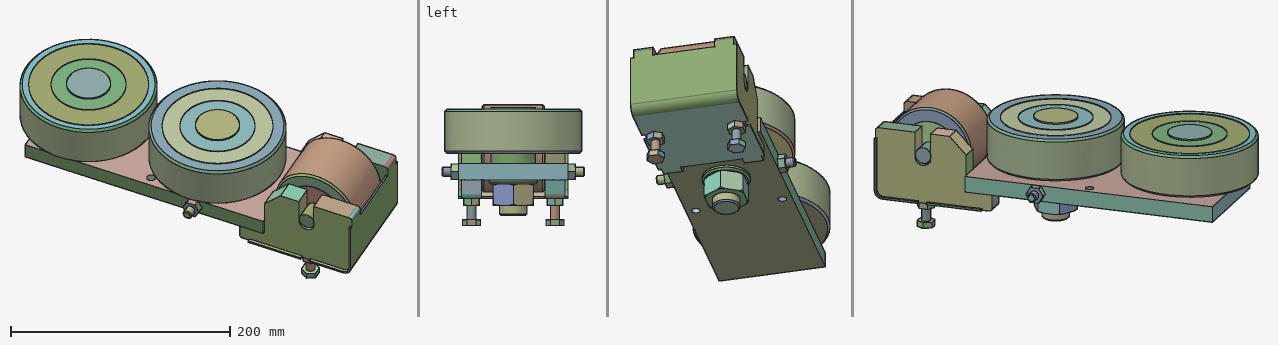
import cadquery as cq
import math

overall_length = 350.5

wheel_diameter = 125.0
wheel_height = 40.3
wheel_bottom = 24.2
wheel_chamfer = 2.0
wheel_pitch = 130.0
hub_diameter = 40.3
hub_rise = 1.5
inner_ring_diameter = 68.5
ring_recess = 0.7
front_face_diameter = 109.5
rear_face_diameter = 101.0

stud_diameter = 25.2
stud_bottom = -32.2
stud_chamfer = 1.5
washer_diameter = 44.0
washer_thickness = 4.0
washer_chamfer = 1.8
nut_across_flats = 36.5
nut_height = 19.3
nut_chamfer = 1.8

plate_start = -40.3
plate_length = 240.0
plate_width = 100.0
plate_thickness = 15.0
plate_end = plate_start + plate_length
mount_hole_diameter = 7.7
mount_hole_setback = 47.5
mount_hole_x = wheel_pitch - mount_hole_setback
mount_hole_y = 40.5

set_screw_diameter = 8.5
set_screw_span = 130.0
set_screw_chamfer = 1.0
set_nut_across_flats = 14.5
set_nut_height = 6.5

bracket_end = overall_length - wheel_diameter / 2
bracket_front = 174.5
bracket_bottom = -16.8
bracket_top = 50.8
cheek_inner_y = 29.0
cheek_outer_y = 47.0
cheek_thickness = cheek_outer_y - cheek_inner_y
cheek_chamfer = 16.0
cheek_fillet = 3.0
sheet_thickness = 1.8
sheet_bend_radius = 8.0
sheet_inset = 9.8
axle_slot_bottom = 19.5

roller_x = 242.0
roller_z = 28.7
roller_diameter = 80.0
roller_width = 56.8
roller_chamfer = 1.8
race_diameter = 54.0
race_step = 0.5
axle_diameter = 15.0
axle_length = 92.0

bolt_diameter = 8.5
bolt_bottom = -41.7
bolt_head_height = 5.5
bolt_hex_across_flats = 14.5
lock_nut_height = 6.3
bolt_y = (cheek_inner_y + cheek_outer_y) / 2
axle_bottom = roller_z - axle_diameter / 2


def disc(diameter, bottom, top, x=0.0, y=0.0):
    """Upright cylinder between two heights."""
    return cq.Workplane("XY", origin=(x, y, bottom)).circle(diameter / 2).extrude(top - bottom)


def hexagon(across_flats, height, corner_angle=0.0):
    """Upright hexagonal prism standing on Z = 0, one corner at the given angle from +X."""
    across_corners = across_flats / math.cos(math.pi / 6)
    prism = cq.Workplane("XY").polygon(6, across_corners).extrude(height)
    return prism.rotate((0, 0, 0), (0, 0, 1), corner_angle)


def chamfered_hexagon(across_flats, height, chamfer):
    """Upright hexagonal prism whose corners are turned down at both ends."""
    corner_radius = across_flats / math.cos(math.pi / 6) / 2
    drop = chamfer * math.tan(math.pi / 6)
    envelope = (
        cq.Workplane("XZ")
        .polyline([
            (0, 0),
            (corner_radius - chamfer, 0),
            (corner_radius, drop),
            (corner_radius, height - drop),
            (corner_radius - chamfer, height),
            (0, height),
        ])
        .close()
        .revolve(360, (0, 0, 0), (0, 1, 0))
    )
    return hexagon(across_flats, height).intersect(envelope)


def make_wheel(x, face_diameter):
    """Wheel with a raised hub, an inner ring and a slightly recessed annular face."""
    wheel_top = wheel_bottom + wheel_height
    face = wheel_top - ring_recess
    wheel = disc(wheel_diameter, wheel_bottom, wheel_top, x).edges().chamfer(wheel_chamfer)
    wheel = wheel.cut(disc(face_diameter, face, wheel_top, x))
    wheel = wheel.union(disc(inner_ring_diameter, wheel_bottom, wheel_top, x))
    return wheel.union(disc(hub_diameter, plate_thickness, wheel_top + hub_rise, x))


def make_stud_and_nut(x):
    """Stud through the plate, with the washer and nut that clamp it from below."""
    stud = disc(stud_diameter, stud_bottom, plate_thickness, x).faces("<Z").chamfer(stud_chamfer)
    washer = disc(washer_diameter, -washer_thickness, 0, x).faces("<Z").chamfer(washer_chamfer)
    nut = chamfered_hexagon(nut_across_flats, nut_height, nut_chamfer)
    nut = nut.translate((x, 0, -washer_thickness - nut_height))
    return stud.union(washer).union(nut)


def make_plate():
    """Flat plate with the stud hole and two mounting holes."""
    plate = cq.Workplane("XY").box(plate_length, plate_width, plate_thickness, centered=(False, True, False))
    plate = plate.translate((plate_start, 0, 0))
    plate = plate.cut(disc(stud_diameter, 0, plate_thickness, wheel_pitch))
    for side in (-1, 1):
        plate = plate.cut(disc(mount_hole_diameter, 0, plate_thickness, mount_hole_x, side * mount_hole_y))
    return plate


def make_set_screw(side):
    """Set screw and lock nut standing out from one long edge of the plate."""
    reach = (set_screw_span - plate_width) / 2
    screw = disc(set_screw_diameter, 0, reach).faces(">Z").chamfer(set_screw_chamfer)
    screw = screw.union(hexagon(set_nut_across_flats, set_nut_height))
    screw = screw.rotate((0, 0, 0), (1, 0, 0), -90 * side)
    return screw.translate((wheel_pitch, side * plate_width / 2, plate_thickness / 2))


def make_cheek(side):
    """Side cheek with a ledge under the plate and an open axle slot."""
    cheek = (
        cq.Workplane("XZ", origin=(0, cheek_thickness / 2, 0))
        .polyline([
            (bracket_front, bracket_bottom),
            (bracket_end, bracket_bottom),
            (bracket_end, bracket_top),
            (plate_end + cheek_chamfer, bracket_top),
            (plate_end, bracket_top - cheek_chamfer),
            (plate_end, 0),
            (bracket_front, 0),
        ])
        .close()
        .extrude(cheek_thickness)
    )
    cheek = cheek.edges("|Y and >X and >Z").fillet(cheek_fillet)
    cheek = cheek.edges("|Y and <X and <Z").fillet(cheek_fillet)
    cheek = cheek.edges("|Y and >X and <Z").fillet(sheet_bend_radius)
    slot_radius = axle_diameter / 2
    slot = (
        cq.Workplane("XZ", origin=(roller_x, cheek_thickness / 2, axle_slot_bottom + slot_radius))
        .moveTo(-slot_radius, 0)
        .threePointArc((0, -slot_radius), (slot_radius, 0))
        .lineTo(slot_radius, bracket_top)
        .lineTo(-slot_radius, bracket_top)
        .close()
        .extrude(cheek_thickness)
    )
    return cheek.cut(slot).translate((0, side * bolt_y, 0))


def make_sheet():
    """Bent sheet closing the bottom and the rear, notched beside each bolt."""
    inner_x = bracket_end - sheet_thickness
    floor_z = bracket_bottom + sheet_thickness
    front = bracket_front + sheet_inset
    top = bracket_top - sheet_inset
    inner_radius = sheet_bend_radius - sheet_thickness
    bend_x = bracket_end - sheet_bend_radius
    bend_z = bracket_bottom + sheet_bend_radius
    diagonal = math.sqrt(0.5)
    sheet = (
        cq.Workplane("XZ", origin=(0, plate_width / 2, 0))
        .moveTo(front, bracket_bottom)
        .lineTo(bend_x, bracket_bottom)
        .threePointArc(
            (bend_x + sheet_bend_radius * diagonal, bend_z - sheet_bend_radius * diagonal),
            (bracket_end, bend_z),
        )
        .lineTo(bracket_end, top)
        .lineTo(inner_x, top)
        .lineTo(inner_x, bend_z)
        .threePointArc(
            (bend_x + inner_radius * diagonal, bend_z - inner_radius * diagonal),
            (bend_x, floor_z),
        )
        .lineTo(front, floor_z)
        .close()
        .extrude(plate_width)
    )
    notch_depth = plate_width / 2 - cheek_outer_y
    for side in (-1, 1):
        notch_y = side * (cheek_outer_y + notch_depth / 2)
        notch = cq.Workplane("XY").box(bolt_diameter, notch_depth, sheet_thickness)
        sheet = sheet.cut(notch.translate((roller_x, notch_y, bracket_bottom + sheet_thickness / 2)))
    return sheet


def make_frame():
    """Welded frame: plate, set screws and bracket, with a bolt hole in each cheek."""
    frame = make_plate().union(make_sheet())
    for side in (-1, 1):
        frame = frame.union(make_cheek(side))
        frame = frame.union(make_set_screw(side))
    for side in (-1, 1):
        frame = frame.cut(disc(bolt_diameter, bracket_bottom, axle_bottom, roller_x, side * bolt_y))
    return frame


def make_roller():
    """Cross roller, turned together with its axle about the Y direction."""
    def centred_disc(diameter, width):
        return cq.Workplane("XZ", origin=(0, width / 2, 0)).circle(diameter / 2).extrude(width)

    roller = centred_disc(roller_diameter, roller_width).edges().chamfer(roller_chamfer)
    roller = roller.union(centred_disc(race_diameter, roller_width + 2 * race_step))
    roller = roller.union(centred_disc(axle_diameter, axle_length))
    return roller.translate((roller_x, 0, roller_z))


def make_bolt(side):
    """Jacking bolt with its lock nut, reaching up to the underside of the axle."""
    bolt = disc(bolt_diameter, bolt_bottom, axle_bottom)
    head = hexagon(bolt_hex_across_flats, bolt_head_height, corner_angle=90)
    bolt = bolt.union(head.translate((0, 0, bolt_bottom)))
    lock_nut = hexagon(bolt_hex_across_flats, lock_nut_height)
    bolt = bolt.union(lock_nut.translate((0, 0, bracket_bottom - lock_nut_height)))
    return bolt.translate((roller_x, side * bolt_y, 0))


frame = make_frame()
front_wheel = make_wheel(0, front_face_diameter)
rear_wheel = make_wheel(wheel_pitch, rear_face_diameter).union(make_stud_and_nut(wheel_pitch))
roller = make_roller()
bolts = [make_bolt(side) for side in (-1, 1)]

result = cq.Compound.makeCompound([
    frame.val(),
    front_wheel.val(),
    rear_wheel.val(),
    roller.val(),
    *[bolt.val() for bolt in bolts],
])